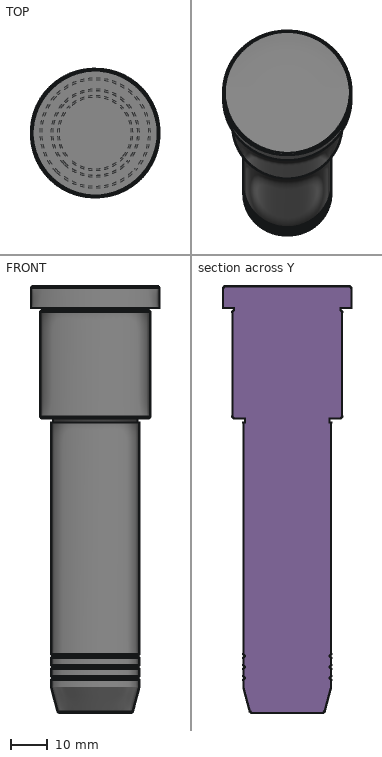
import cadquery as cq
import math

total_length = 116.0
head_diameter = 35.0
head_thickness = 6.0
shoulder_diameter = 30.0
shoulder_length = 30.0
shaft_diameter = 24.0

head_chamfer = 0.5
shoulder_chamfer = 0.5
tip_chamfer_width = 0.45
tip_chamfer_height = 0.4

relief_width = 1.0
relief_depth = 0.5

groove_count = 3
groove_width = 1.0
groove_depth = 0.45
groove_pitch = 3.0
lowest_groove_bottom = 9.0

lead_in_height = 7.0
taper_angle = math.radians(15)

head_radius = head_diameter / 2
shoulder_radius = shoulder_diameter / 2
shaft_radius = shaft_diameter / 2
head_bottom = total_length - head_thickness
shoulder_bottom = head_bottom - shoulder_length


def turned(profile):
    """Revolve a closed radius-height profile about the pin axis."""
    return profile.close().revolve(360, (0, 0, 0), (0, 1, 0))


def make_body():
    tip_radius = shaft_radius - (lead_in_height - tip_chamfer_height) * math.tan(taper_angle)
    profile = (
        cq.Workplane("XZ")
        .moveTo(0, 0)
        .lineTo(tip_radius - tip_chamfer_width, 0)
        .lineTo(tip_radius, tip_chamfer_height)
        .lineTo(shaft_radius, lead_in_height)
        .lineTo(shaft_radius, shoulder_bottom)
        .lineTo(shoulder_radius - shoulder_chamfer, shoulder_bottom)
        .lineTo(shoulder_radius, shoulder_bottom + shoulder_chamfer)
        .lineTo(shoulder_radius, head_bottom)
        .lineTo(head_radius, head_bottom)
        .lineTo(head_radius, total_length - head_chamfer)
        .lineTo(head_radius - head_chamfer, total_length)
        .lineTo(0, total_length)
    )
    return turned(profile)


def make_relief(radius, top, exit_height):
    """Undercut ring below a face; its lower wall slopes outward over the exit height (0 is square)."""
    floor_radius = radius - relief_depth
    bottom = top - relief_width
    profile = (
        cq.Workplane("XZ")
        .moveTo(radius, bottom)
        .lineTo(radius, top)
        .lineTo(floor_radius, top)
        .lineTo(floor_radius, bottom + exit_height)
    )
    return turned(profile)


def make_groove(bottom):
    """Shallow V-shaped ring groove in the shaft."""
    profile = (
        cq.Workplane("XZ")
        .moveTo(shaft_radius, bottom)
        .lineTo(shaft_radius - groove_depth, bottom + groove_width / 2)
        .lineTo(shaft_radius, bottom + groove_width)
    )
    return turned(profile)


result = make_body()
result = result.cut(make_relief(shoulder_radius, head_bottom, shoulder_chamfer))
result = result.cut(make_relief(shaft_radius, shoulder_bottom, 0))
for index in range(groove_count):
    result = result.cut(make_groove(lowest_groove_bottom + index * groove_pitch))